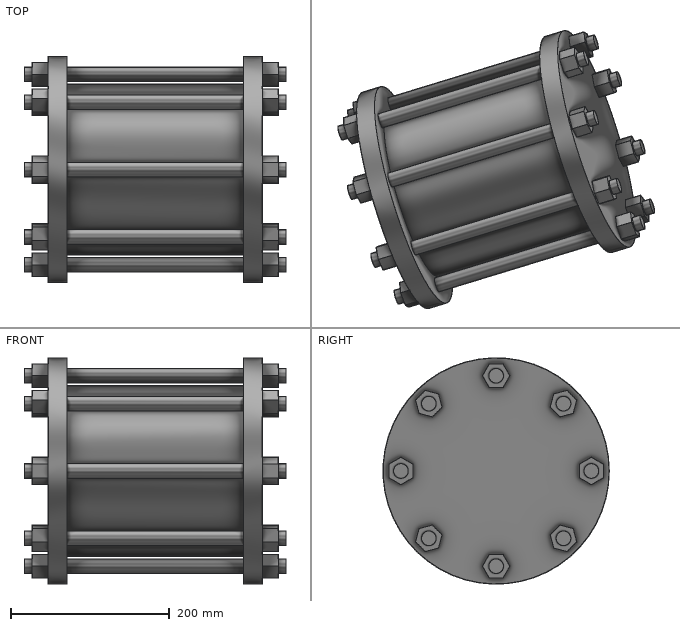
import cadquery as cq
import math

rod_length = 330.0
rod_overhang = 10.0
nut_height = 20.0
flange_thickness = 24.0

flange_diameter = 285.0
drum_diameter = 215.0
bolt_circle_diameter = 240.0
rod_diameter = 18.5
nut_across_flats = 30.0
rod_count = 8

nut_across_corners = nut_across_flats / math.cos(math.radians(30))
nut_outer_x = rod_length / 2 - rod_overhang
flange_outer_x = nut_outer_x - nut_height
flange_inner_x = flange_outer_x - flange_thickness


def cylinder_along_x(diameter, x_start, x_end):
    """Solid cylinder on the X axis between two X positions."""
    return cq.Workplane("YZ", origin=(x_start, 0, 0)).circle(diameter / 2).extrude(x_end - x_start)


def nut_along_x(x_start):
    """Hexagonal nut on the X axis with two of its flats facing +Y and -Y."""
    return (
        cq.Workplane("YZ", origin=(x_start, 0, 0))
        .transformed(rotate=(0, 0, 30))
        .polygon(6, nut_across_corners)
        .extrude(nut_height)
    )


def tie_rod(angle):
    """Rod with a nut outside each flange, flats facing radially, at an angle around X."""
    rod = cylinder_along_x(rod_diameter, -rod_length / 2, rod_length / 2)
    left_nut = nut_along_x(-nut_outer_x)
    right_nut = nut_along_x(flange_outer_x)
    assembly = rod.union(left_nut).union(right_nut)
    return assembly.translate((0, bolt_circle_diameter / 2, 0)).rotate((0, 0, 0), (1, 0, 0), angle)


drum = cylinder_along_x(drum_diameter, -flange_inner_x, flange_inner_x)
left_flange = cylinder_along_x(flange_diameter, -flange_outer_x, -flange_inner_x)
right_flange = cylinder_along_x(flange_diameter, flange_inner_x, flange_outer_x)
result = drum.union(left_flange).union(right_flange)

for index in range(rod_count):
    result = result.union(tie_rod(index * 360 / rod_count))